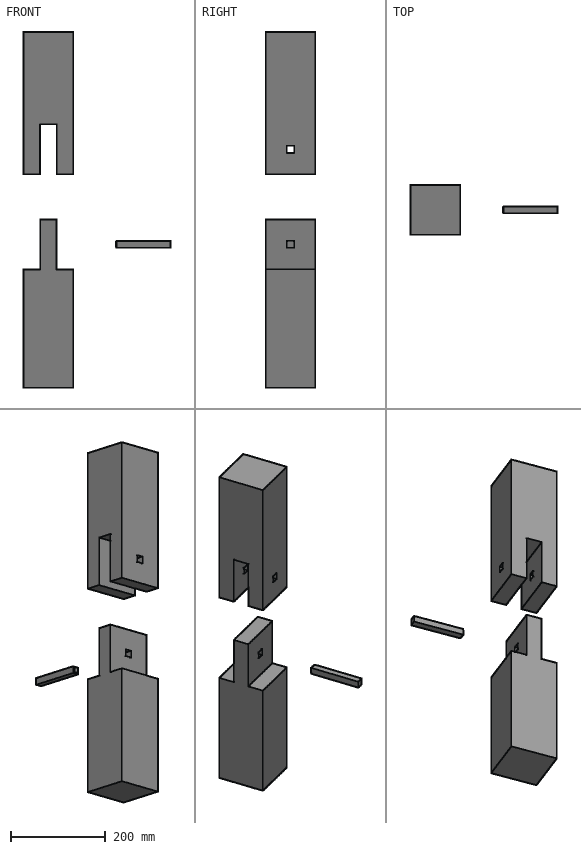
import cadquery as cq

total_height = 750.0
post_side = 105.0
upper_length = 300.0
upper_bottom = total_height - upper_length

shoulder_height = 250.0
tongue_thickness = post_side / 3
tongue_length = post_side

peg_side = 15.0
hole_side = peg_side
tongue_hole_z = shoulder_height + tongue_length / 2
upper_hole_z = upper_bottom + tongue_length / 2
peg_length = 115.5
overall_length_x = 310.0
peg_end_x = overall_length_x - post_side / 2
peg_start_x = peg_end_x - peg_length
peg_chamfer = 2.0


def block(size_x, size_y, size_z, bottom_z):
    """Box centred on the Z axis, standing on the given height."""
    return (
        cq.Workplane("XY")
        .box(size_x, size_y, size_z, centered=(True, True, False))
        .translate((0, 0, bottom_z))
    )


def peg_hole(center_z):
    """Square cutter along X through the full width of a post."""
    return block(post_side, hole_side, hole_side, center_z - hole_side / 2)


def make_lower_post():
    base = block(post_side, post_side, shoulder_height, 0)
    tongue = block(tongue_thickness, post_side, tongue_length, shoulder_height)
    return base.union(tongue).cut(peg_hole(tongue_hole_z))


def make_upper_post():
    post = block(post_side, post_side, upper_length, upper_bottom)
    slot = block(tongue_thickness, post_side, tongue_length, upper_bottom)
    return post.cut(slot).cut(peg_hole(upper_hole_z))


def make_peg():
    """Square peg with its leading end chamfered, level with the tongue hole."""
    return (
        cq.Workplane("YZ")
        .rect(peg_side, peg_side)
        .extrude(peg_length)
        .faces("<X")
        .chamfer(peg_chamfer)
        .translate((peg_start_x, 0, tongue_hole_z))
    )


lower_post = make_lower_post()
upper_post = make_upper_post()
peg = make_peg()

result = cq.Compound.makeCompound([lower_post.val(), upper_post.val(), peg.val()])